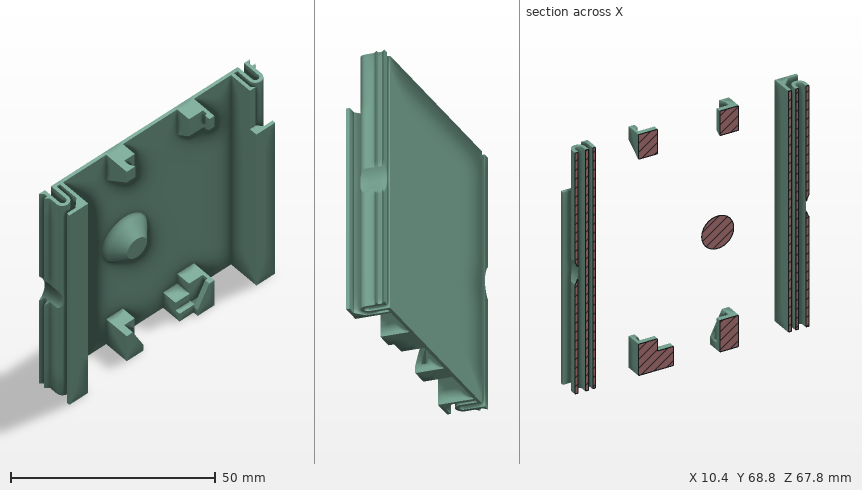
import cadquery as cq

depth = 10.4
width = 68.75
height = 67.8
wall = 0.95

half_width = width / 2
top = height / 2

barb_height = 1.0
barb_width = 0.95
barb_pitch = 2.0
fold_gap = 2.0
fold_radius = fold_gap / 2 + wall
fold_center_x = 5.35
fold_reach = fold_center_x + fold_radius
slit_gap = 1.1
flange_tip_setback = 0.9
gusset_size = 2.35

arm_outer_y = half_width - barb_height
arm_inner_y = arm_outer_y - wall
fold_center_y = arm_inner_y - fold_gap / 2
panel_edge_y = arm_inner_y - fold_gap
slit_outer_y = panel_edge_y - wall
flange_outer_y = slit_outer_y - slit_gap
flange_inner_y = flange_outer_y - wall
flange_tip_y = half_width - flange_tip_setback
lip_x = depth - wall

notch_depth = 1.9
notch_radius = 6.0

relief_x = 8.0
relief_height = 13.75

clip_reach = 8.6
slot_x = 5.35
slot_end_x = 7.1
left_clip_y = (9.8, 15.25)
left_slot_end_y = 14.4
left_lip_y = 13.6
left_slot_bend_x = 6.75
right_clip_y = (-13.3, -7.85)
right_slot_end_y = -11.3
right_lip_y = -10.45
bracket_tip_height = 3.85
bracket_root_height = 9.15
seat_height = 2.05
lower_clip_height = 8.95

stop_y = 5.2
stop_step_x = 5.6
stop_height = 5.5
ledge_height = 2.75
ledge_end_y = 10.1

boss_y = -7.3
boss_base_radius = 7.4
boss_tip_radius = 3.2
boss_tip_x = 5.6


def box(x_range, y_range, z_range):
    """Box spanning the given coordinate ranges."""
    size = [high - low for low, high in (x_range, y_range, z_range)]
    corner = (x_range[0], y_range[0], z_range[0])
    return cq.Workplane("XY").box(*size, centered=False).translate(corner)


def prism(points, z_range):
    """Plan outline raised over a height range."""
    low, high = z_range
    return cq.Workplane("XY").workplane(offset=low).polyline(points).close().extrude(high - low)


def edge_section():
    """Full-height +Y half of the extruded section, with its thumb notch."""
    outline = (
        cq.Workplane("XY").workplane(offset=-top)
        .moveTo(0, 0)
        .lineTo(0, panel_edge_y)
        .lineTo(fold_center_x, panel_edge_y)
        .threePointArc((fold_center_x + fold_gap / 2, fold_center_y), (fold_center_x, arm_inner_y))
        .lineTo(0, arm_inner_y)
        .lineTo(0, half_width)
        .lineTo(barb_width, arm_outer_y)
        .lineTo(barb_pitch, arm_outer_y)
        .lineTo(barb_pitch, half_width)
        .lineTo(barb_pitch + barb_width, arm_outer_y)
        .lineTo(fold_center_x, arm_outer_y)
        .threePointArc((fold_reach, fold_center_y), (fold_center_x, slit_outer_y))
        .lineTo(wall, slit_outer_y)
        .lineTo(wall, flange_outer_y)
        .lineTo(lip_x - gusset_size, flange_outer_y)
        .lineTo(lip_x, flange_outer_y + gusset_size)
        .lineTo(lip_x, flange_tip_y)
        .lineTo(depth, flange_tip_y)
        .lineTo(depth, flange_inner_y)
        .lineTo(wall, flange_inner_y)
        .lineTo(wall, 0)
        .close()
    )
    notch = (
        cq.Workplane("YZ")
        .center(half_width - notch_depth + notch_radius, 0)
        .circle(notch_radius)
        .extrude(fold_reach)
    )
    return outline.extrude(height).cut(notch)


def upper_clip(y_range, slot):
    """Bracket with a sloping underside and an open board slot."""
    bracket = (
        cq.Workplane("XZ", origin=(0, y_range[1], 0))
        .polyline([
            (0, top),
            (clip_reach, top),
            (clip_reach, top - bracket_tip_height),
            (wall, top - bracket_root_height),
            (0, top - bracket_root_height),
        ])
        .close()
        .extrude(y_range[1] - y_range[0])
    )
    return bracket.cut(prism(slot, (-top, top)))


def lower_clip(y_range, slot_y, open_y, lip_y):
    """Block with a board slot above a seat and a lip that ramps down to the slot mouth."""
    bottom = -top
    seat = bottom + seat_height
    clip_top = bottom + lower_clip_height
    block = box((0, clip_reach), y_range, (bottom, clip_top))
    slot = box((slot_x, slot_end_x), sorted((slot_y, open_y)), (seat, clip_top))
    ramp = (
        cq.Workplane("YZ", origin=(slot_end_x, 0, 0))
        .polyline([(lip_y, clip_top), (open_y, clip_top), (open_y, seat)])
        .close()
        .extrude(clip_reach - slot_end_x)
    )
    return block.cut(slot).cut(ramp)


def end_stop():
    """Stepped block at the mouth of the lower +Y clip, its ledge reaching into the slot."""
    rest = box((0, stop_step_x), (stop_y, left_clip_y[0]), (-top, -top + stop_height))
    ledge = box((0, slot_end_x), (stop_y, ledge_end_y), (-top, -top + ledge_height))
    return rest.union(ledge)


def conical_boss():
    """Truncated cone rising from the inner face of the panel."""
    return (
        cq.Workplane("XY")
        .polyline([(0, 0), (0, boss_base_radius), (wall, boss_base_radius),
                   (boss_tip_x, boss_tip_radius), (boss_tip_x, 0)])
        .close()
        .revolve(360, (0, 0), (1, 0))
        .translate((0, boss_y, 0))
    )


half_panel = edge_section()
result = half_panel.union(half_panel.mirror("XZ"))

result = result.cut(box((relief_x, depth), (flange_inner_y, half_width), (top - relief_height, top)))

left_slot = [
    (slot_x, left_clip_y[0]),
    (slot_x, left_slot_end_y),
    (left_slot_bend_x, left_slot_end_y),
    (slot_end_x, left_lip_y),
    (clip_reach, left_lip_y),
    (clip_reach, left_clip_y[0]),
]
right_slot = [
    (slot_x, right_clip_y[1]),
    (slot_x, right_slot_end_y),
    (slot_end_x, right_slot_end_y),
    (clip_reach, right_lip_y),
    (clip_reach, right_clip_y[1]),
]
result = result.union(upper_clip(left_clip_y, left_slot))
result = result.union(upper_clip(right_clip_y, right_slot))
result = result.union(lower_clip(left_clip_y, left_slot_end_y, left_clip_y[0], left_lip_y))
result = result.union(lower_clip(right_clip_y, right_slot_end_y, right_clip_y[1], right_slot_end_y))

result = result.union(end_stop()).union(conical_boss())